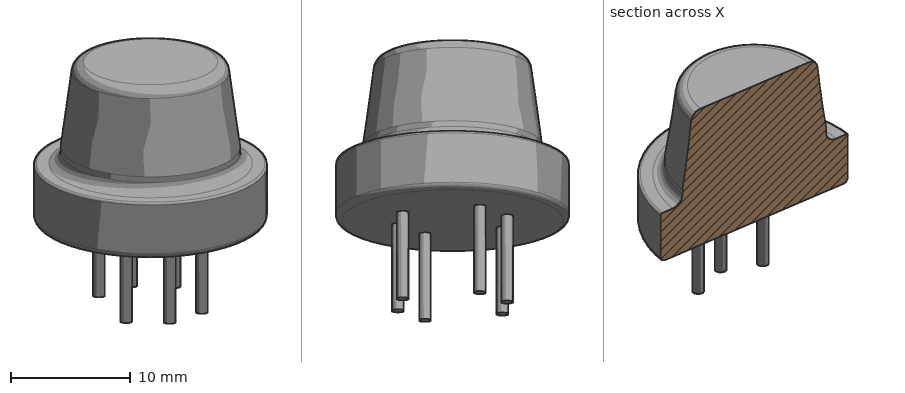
import cadquery as cq
import math

base_radius = 9.75
base_height = 5.0
base_top_fillet = 0.2
base_bottom_fillet = 0.5

cap_top = 14.0
cap_foot_radius = 7.5
cap_foot_fillet = 1.0
cap_collar_top = 6.5
cap_shoulder_radius = 6.6
cap_top_fillet = 1.0

root_z = base_height / 2

pin_radius = 0.5
pin_length = 7.5
pin_circle_radius = 4.75
pin_angles = (0, 45, 135, 180, 225, 315)


def make_base():
    disc = cq.Workplane("XY").circle(base_radius).extrude(base_height)
    disc = disc.faces(">Z").edges().fillet(base_top_fillet)
    return disc.faces("<Z").edges().fillet(base_bottom_fillet)


def make_cap():
    """Tapered cap with a flared foot, revolved about Z."""
    fillet_centre_z = cap_top - cap_top_fillet
    taper = math.atan2(cap_foot_radius - cap_shoulder_radius, fillet_centre_z - cap_collar_top)
    flat_radius = cap_shoulder_radius - cap_top_fillet * math.cos(taper)
    shoulder_z = fillet_centre_z + cap_top_fillet * math.sin(taper)
    arc_mid_angle = (taper + math.pi / 2) / 2
    arc_mid = (
        flat_radius + cap_top_fillet * math.cos(arc_mid_angle),
        fillet_centre_z + cap_top_fillet * math.sin(arc_mid_angle),
    )

    foot_fillet_top = base_height + cap_foot_fillet
    foot_outer_radius = cap_foot_radius + cap_foot_fillet
    foot_mid_offset = cap_foot_fillet * (1 - math.sqrt(0.5))
    foot_mid = (cap_foot_radius + foot_mid_offset, base_height + foot_mid_offset)

    profile = (
        cq.Workplane("XZ")
        .moveTo(0, root_z)
        .lineTo(foot_outer_radius, root_z)
        .lineTo(foot_outer_radius, base_height)
        .threePointArc(foot_mid, (cap_foot_radius, foot_fillet_top))
        .lineTo(cap_foot_radius, cap_collar_top)
        .lineTo(cap_shoulder_radius, shoulder_z)
        .threePointArc(arc_mid, (flat_radius, cap_top))
        .lineTo(0, cap_top)
        .close()
    )
    return profile.revolve(360, (0, 0, 0), (0, 1, 0))


def make_pins():
    centres = [
        (
            pin_circle_radius * math.cos(math.radians(angle)),
            pin_circle_radius * math.sin(math.radians(angle)),
        )
        for angle in pin_angles
    ]
    return (
        cq.Workplane("XY")
        .workplane(offset=-pin_length)
        .pushPoints(centres)
        .circle(pin_radius)
        .extrude(pin_length + root_z)
    )


result = make_base().union(make_cap()).union(make_pins())